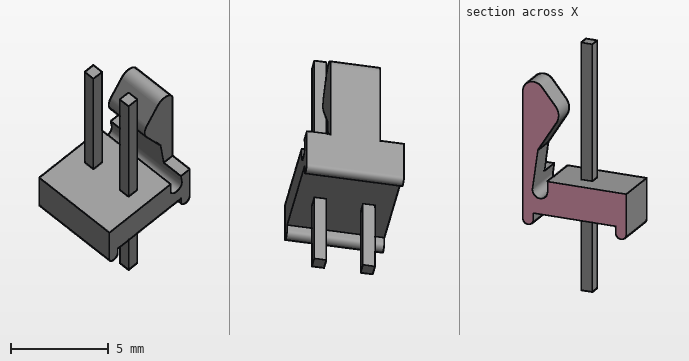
import cadquery as cq
import math


pitch = 2.54
pin_count = 2
pin_size = 0.635
pin_above = 7.51
pin_length = 13.59

housing_width = pin_count * pitch
housing_depth = 5.84
housing_height = 1.88
back_y = 3.175
front_y = back_y - housing_depth

foot_width = 0.62
foot_radius = foot_width / 2
foot_bottom_z = -2.54

groove_radius = 0.41
groove_front_y = back_y - 1.39
groove_center_y = groove_front_y + groove_radius
groove_center_z = -0.585

latch_width = 2.6
latch_height = 5.35
latch_lean = math.radians(8)
neck_top_z = 1.635
ramp_angle = math.radians(50.7)
nose_corner_y = back_y - 2.215
nose_corner_z = 3.757
nose_radius = 0.76

tangent_y = groove_center_y + groove_radius * math.cos(latch_lean)
tangent_z = groove_center_z + groove_radius * math.sin(latch_lean)


def neck_y(z):
    """Y of the leaning neck face at height z."""
    return tangent_y - (z - tangent_z) * math.tan(latch_lean)


def extrude_across(profile, width):
    """Extrude a YZ profile symmetrically about X = 0."""
    return profile.extrude(width / 2, both=True)


def make_housing():
    foot_center_z = foot_bottom_z + foot_radius
    rear_foot_y = back_y - foot_width
    front_foot_y = front_y + foot_width
    profile = (
        cq.Workplane("YZ")
        .moveTo(back_y, 0)
        .lineTo(back_y, foot_center_z)
        .threePointArc((back_y - foot_radius, foot_bottom_z), (rear_foot_y, foot_center_z))
        .lineTo(rear_foot_y, -housing_height)
        .lineTo(front_foot_y, -housing_height)
        .lineTo(front_foot_y, foot_center_z)
        .threePointArc((front_y + foot_radius, foot_bottom_z), (front_y, foot_center_z))
        .lineTo(front_y, 0)
        .lineTo(groove_front_y, 0)
        .lineTo(groove_front_y, groove_center_z)
        .threePointArc(
            (groove_center_y, groove_center_z - groove_radius),
            (tangent_y, tangent_z),
        )
        .lineTo(neck_y(0), 0)
        .close()
    )
    return extrude_across(profile, housing_width)


def make_latch():
    half_tip_angle = (math.pi / 2 - ramp_angle) / 2
    ramp_run = back_y - nose_corner_y
    tip_corner_z = nose_corner_z + ramp_run * math.tan(ramp_angle)
    tip_radius = (tip_corner_z - latch_height) / (1 / math.tan(half_tip_angle) - 1)
    profile = (
        cq.Workplane("YZ")
        .moveTo(back_y, 0)
        .lineTo(neck_y(0), 0)
        .lineTo(neck_y(neck_top_z), neck_top_z)
        .lineTo(nose_corner_y, nose_corner_z)
        .lineTo(back_y, tip_corner_z)
        .close()
    )
    latch = extrude_across(profile, latch_width)
    latch = latch.edges("|X").edges(">Z").fillet(tip_radius)
    return latch.edges("|X").edges("<Y").fillet(nose_radius)


def make_pin(x):
    return (
        cq.Workplane("XY")
        .workplane(offset=pin_above - pin_length)
        .center(x, 0)
        .rect(pin_size, pin_size)
        .extrude(pin_length)
    )


result = make_housing().union(make_latch())
for index in range(pin_count):
    pin_x = (index - (pin_count - 1) / 2) * pitch
    result = result.union(make_pin(pin_x))